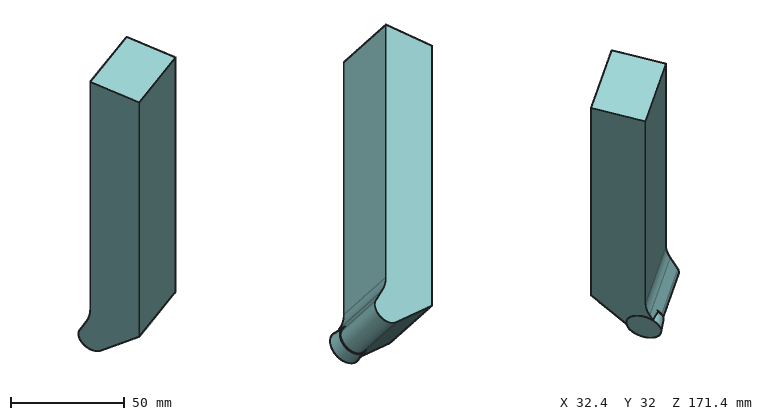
import cadquery as cq
import math

overall_width = 32.4
overall_height = 171.4
overall_depth = 32.0
insert_protrusion = 0.2
shank_depth = overall_depth - insert_protrusion

shank_width = 25.0
back_corner_height = 22.5
nose_radius = 6.7
neck_angle = math.radians(25.0)
blend_radius = 20.0

insert_radius = 8.0
insert_thickness = 6.3
relief_angle = math.radians(7.0)

axis_x = insert_radius
axis_z = insert_radius
shank_left = overall_width - shank_width
shank_right = overall_width


def nose_point(angle):
    """Point on the nose circle, with the angle measured from +X towards +Z."""
    return (axis_x + nose_radius * math.cos(angle), axis_z + nose_radius * math.sin(angle))


def blend_point(angle):
    """Point on the hollow blend, turned by the given angle from its upper end."""
    return (
        shank_left - blend_radius * (1 - math.cos(angle)),
        blend_top - blend_radius * math.sin(angle),
    )


left_tangent_angle = math.pi - neck_angle
flank_start = nose_point(left_tangent_angle)

blend_end_x = shank_left - blend_radius * (1 - math.cos(neck_angle))
blend_end_z = flank_start[1] + (blend_end_x - flank_start[0]) / math.tan(neck_angle)
blend_top = blend_end_z + blend_radius * math.sin(neck_angle)

corner_dx = shank_right - axis_x
corner_dz = back_corner_height - axis_z
corner_distance = math.hypot(corner_dx, corner_dz)
right_tangent_angle = math.atan2(corner_dz, corner_dx) - math.acos(nose_radius / corner_distance)
nose_middle_angle = (left_tangent_angle + right_tangent_angle + 2 * math.pi) / 2


def make_insert():
    """Round insert, widest at the +Y face and tapering towards -Y."""
    small_radius = insert_radius - insert_thickness * math.tan(relief_angle)
    return cq.Workplane(
        cq.Solid.makeCone(
            insert_radius,
            small_radius,
            insert_thickness,
            cq.Vector(axis_x, overall_depth, axis_z),
            cq.Vector(0, -1, 0),
        )
    )


def make_holder(insert):
    """Shank with an angled neck, and a seat that fits the insert."""
    blank = (
        cq.Workplane("XZ")
        .moveTo(shank_left, overall_height)
        .lineTo(shank_right, overall_height)
        .lineTo(shank_right, back_corner_height)
        .lineTo(*nose_point(right_tangent_angle))
        .threePointArc(nose_point(nose_middle_angle), flank_start)
        .lineTo(*blend_point(neck_angle))
        .threePointArc(blend_point(neck_angle / 2), (shank_left, blend_top))
        .close()
        .extrude(-shank_depth)
    )
    return blank.cut(insert)


insert = make_insert()
holder = make_holder(insert)

result = cq.Compound.makeCompound([holder.val(), insert.val()])